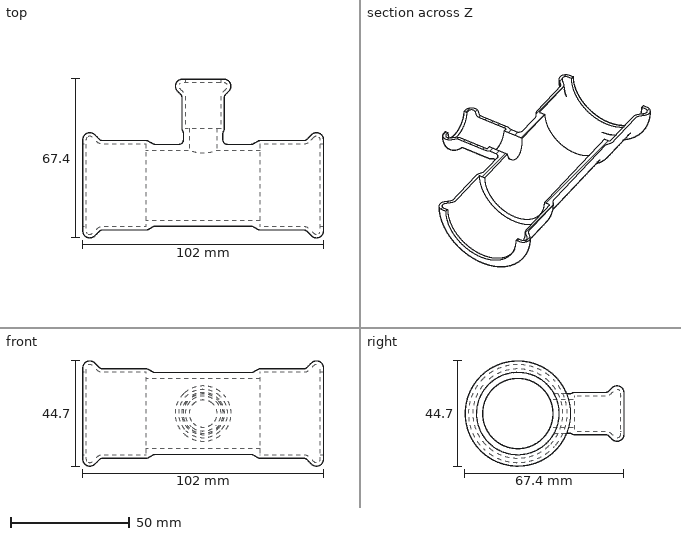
import cadquery as cq
import math

run_length = 102.0
branch_reach = 45.0

run_socket_radius = 38.0 / 2
run_tube_radius = 34.8 / 2
run_bead_radius = 44.7 / 2
run_socket_depth = 26.9
run_neck_radius = 1.8
run_neck_angle = math.radians(30)

branch_socket_radius = 18.0 / 2
branch_tube_radius = 16.8 / 2
branch_bead_radius = 23.6 / 2
branch_socket_depth = 21.0
branch_neck_radius = 2.0

socket_wall = 1.5
tube_wall = 2.55
bead_section_radius = 3.0
bead_cone_angle = math.radians(45)
blend_radius = 1.9
saddle_fillet = 1.8


def arc_points(center, radius, start_angle, end_angle):
    """Start, middle and end point of an arc, angles in radians."""
    angles = (start_angle, (start_angle + end_angle) / 2, end_angle)
    return [(center[0] + radius * math.cos(a), center[1] + radius * math.sin(a)) for a in angles]


def line_and_arc(profile, arc):
    """Straight line to the start of an arc, then the arc itself."""
    start, middle, end = arc
    return profile.lineTo(*start).threePointArc(middle, end)


def bead_centers(bead_radius, socket_radius):
    """Section centers of the bead and of the blend into the socket, as (depth, radius)."""
    bead_center = (bead_section_radius, bead_radius - bead_section_radius)
    center_gap = bead_section_radius + blend_radius
    blend_height = socket_radius + blend_radius
    height_drop = bead_center[1] - blend_height
    run_along = (center_gap + height_drop * math.cos(bead_cone_angle)) / math.sin(bead_cone_angle)
    return bead_center, (bead_center[0] + run_along, blend_height)


def to_bead_end(profile, centers, offset):
    """Bead arc, cone and blend arc, moved inward from the outer skin by offset."""
    bead_center, blend_center = centers
    tangent_angle = math.pi / 2 - bead_cone_angle
    bead_arc = arc_points(bead_center, bead_section_radius - offset, math.pi, tangent_angle)
    blend_arc = arc_points(
        blend_center, blend_radius + offset, tangent_angle - math.pi, -math.pi / 2
    )
    return line_and_arc(line_and_arc(profile, bead_arc), blend_arc)


def to_neck_end(profile, neck, start_depth, socket_radius, tube_radius):
    """Rounded step from the socket down to the tube: two arcs, with a cone between them if wanted."""
    arc_radius, cone_angle, has_cone = neck
    cone_drop = socket_radius - tube_radius - 2 * arc_radius * (1 - math.cos(cone_angle))
    length = 2 * arc_radius * math.sin(cone_angle) + cone_drop / math.tan(cone_angle)
    cone_normal = math.pi / 2 - cone_angle
    first_center = (start_depth, socket_radius - arc_radius)
    second_center = (start_depth + length, tube_radius + arc_radius)
    first_arc = arc_points(first_center, arc_radius, math.pi / 2, cone_normal)
    second_arc = arc_points(second_center, arc_radius, cone_normal - math.pi, -math.pi / 2)
    profile = line_and_arc(profile, first_arc)
    if has_cone:
        return line_and_arc(profile, second_arc)
    return profile.threePointArc(*second_arc[1:])


def outer_body(neck, length, bead_radius, socket_radius, tube_radius, socket_depth):
    """Solid outer form about +X, mouth at the origin."""
    profile = to_bead_end(cq.Workplane("XY"), bead_centers(bead_radius, socket_radius), 0)
    profile = to_neck_end(profile, neck, socket_depth, socket_radius, tube_radius)
    profile = profile.lineTo(length, tube_radius).lineTo(length, 0).close()
    return profile.revolve(360, (0, 0, 0), (1, 0, 0))


def inner_cavity(length, bead_radius, socket_radius, tube_radius, socket_depth):
    """Mouth, seal groove, socket with its stop, and tube bore about +X, mouth at the origin."""
    socket_bore = socket_radius - socket_wall
    tube_bore = tube_radius - tube_wall
    profile = cq.Workplane("XY").lineTo(0, socket_bore).lineTo(socket_wall, socket_bore)
    profile = to_bead_end(profile, bead_centers(bead_radius, socket_radius), socket_wall)
    profile = profile.lineTo(socket_depth, socket_bore).lineTo(socket_depth, tube_bore)
    profile = profile.lineTo(length, tube_bore).lineTo(length, 0).close()
    return profile.revolve(360, (0, 0, 0), (1, 0, 0))


def place_run(half):
    """Both halves of the run, joined at the middle."""
    left = half.translate((-run_length / 2, 0, 0))
    return left.union(left.mirror("YZ"))


def place_branch(branch):
    """Turn a branch shape so that its mouth faces +Y."""
    return branch.rotate((0, 0, 0), (0, 0, 1), -90).translate((0, branch_reach, 0))


run_sizes = (run_length / 2, run_bead_radius, run_socket_radius, run_tube_radius, run_socket_depth)
branch_sizes = (
    branch_reach, branch_bead_radius, branch_socket_radius, branch_tube_radius, branch_socket_depth
)

run_neck = (run_neck_radius, run_neck_angle, True)
branch_neck_angle = math.acos(1 - (branch_socket_radius - branch_tube_radius) / (2 * branch_neck_radius))
branch_neck = (branch_neck_radius, branch_neck_angle, False)

run_outside = place_run(outer_body(run_neck, *run_sizes))
branch_outside = place_branch(outer_body(branch_neck, *branch_sizes))
outside = run_outside.union(branch_outside)

saddle_box = cq.selectors.BoxSelector(
    (-branch_socket_radius, 0, -branch_socket_radius),
    (branch_socket_radius, run_tube_radius + saddle_fillet, branch_socket_radius),
    boundingbox=True,
)
outside = outside.edges(saddle_box).fillet(saddle_fillet)

result = outside.cut(place_run(inner_cavity(*run_sizes))).cut(place_branch(inner_cavity(*branch_sizes)))